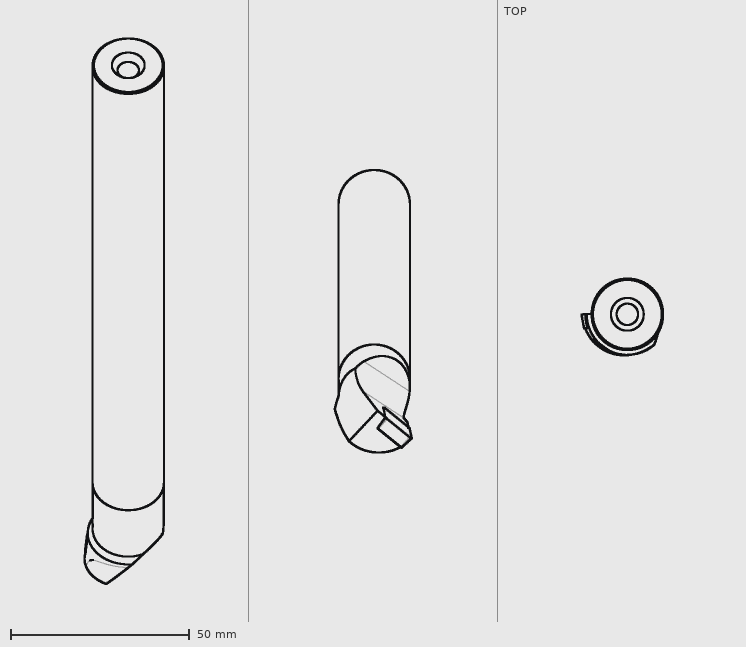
import cadquery as cq
import math


total_length = 221.25
shank_radius = 20.08 / 2
neck_radius = 19.98 / 2
neck_top = 36.25
shank_edge_chamfer = 0.4

bore_radius = 6.0 / 2
bore_end = neck_top
countersink_radius = 9.2 / 2
countersink_depth = 2.2

collar_top = 15.65
head_rim = 13.9
head_radius = 11.38
head_lean = 1.25
bulge_radius = head_radius - 0.1
bulge_angle = math.radians(-58)
bulge_rim_offset = 0.07
bulge_bottom_offset = 0.36

back_slope_top = (10.0, 17.7)
back_slope_bottom = (0.5, 2.9)
end_lead_slope = math.tan(math.radians(5))
end_relief_slope = 0.14
end_height = 0.3

tip_x = -12.9
insert_inscribed = 9.525
insert_thickness = 3.97
insert_nose_radius = 0.8
insert_corner = 80
insert_clearance = 7
insert_lead = 5

rake_slope = 0.07
rake_height = 0.875
flute_fall = -0.39
flute_corner_z = 18.5
flute_fillet = 15.0
runout_angle = math.radians(46.5)

clear = 60.0


def make_shank():
    neck = cq.Workplane("XY").workplane(offset=collar_top).circle(neck_radius).extrude(neck_top - collar_top)
    shank = cq.Workplane("XY").workplane(offset=neck_top).circle(shank_radius)
    shank = shank.extrude(total_length - neck_top)
    shank = shank.faces(">Z").edges().chamfer(shank_edge_chamfer)
    return neck.union(shank)


def make_bore():
    profile = [
        (0, total_length),
        (countersink_radius, total_length),
        (bore_radius, total_length - countersink_depth),
        (bore_radius, bore_end),
        (0, bore_end),
    ]
    return cq.Workplane("XZ").polyline(profile).close().revolve(360, (0, 0), (0, 1))


def make_leaning_cylinder(radius, side_angle, rim_offset, bottom_offset):
    """Cylinder from Z = 0 to the head rim that leans toward -X and is also offset sideways."""
    side_x, side_y = math.cos(side_angle), math.sin(side_angle)
    bottom = (bottom_offset * side_x - head_lean, bottom_offset * side_y)
    rim = (rim_offset * side_x, rim_offset * side_y)
    lower = cq.Workplane("XY").moveTo(*bottom).circle(radius)
    return lower.workplane(offset=head_rim, origin=(0, 0, 0)).moveTo(*rim).circle(radius).loft(ruled=True)


def make_head():
    collar = cq.Workplane("XY").workplane(offset=head_rim).circle(head_radius)
    collar = collar.workplane(offset=collar_top - head_rim).circle(neck_radius).loft(ruled=True)
    body = make_leaning_cylinder(head_radius, 0, 0, 0)
    bulge = make_leaning_cylinder(bulge_radius, bulge_angle, bulge_rim_offset, bulge_bottom_offset)
    return collar.union(body).union(bulge)


def make_back_slope_cut():
    """Wedge beyond the slanted +X side of the head."""
    (top_x, top_z), (bottom_x, bottom_z) = back_slope_top, back_slope_bottom
    run_x, run_z = top_x - bottom_x, top_z - bottom_z
    profile = [
        (bottom_x - run_x, bottom_z - run_z),
        (top_x + run_x, top_z + run_z),
        (top_x + run_x, bottom_z - run_z),
    ]
    return cq.Workplane("XZ").polyline(profile).close().extrude(clear, both=True)


def make_end_cut():
    """Half space below the end face, which rises toward +X and toward -Y."""
    end_plane = cq.Plane(
        origin=(tip_x, 0, end_height),
        xDir=(1, 0, end_lead_slope),
        normal=(-end_lead_slope, end_relief_slope, 1),
    )
    return cq.Workplane(end_plane).rect(clear, clear).extrude(-clear)


def make_flute_cut():
    """Profile axes: x is out of the rake flat (+Y side), y is along the flat, upward."""
    sweep = cq.Vector(1, rake_slope, flute_fall)
    rake_normal = cq.Vector(-rake_slope, 1, 0)
    plane = cq.Plane(origin=(0, rake_height, flute_corner_z), xDir=rake_normal, normal=sweep)
    half = runout_angle / 2
    tangent = flute_fillet * math.tan(half)
    reach = clear / 2
    slope_x, slope_y = math.sin(runout_angle), math.cos(runout_angle)
    arc_middle = (
        flute_fillet * (1 - math.cos(half)),
        flute_fillet * math.sin(half) - tangent,
    )
    profile = (
        cq.Workplane(plane)
        .moveTo(0, -reach)
        .lineTo(0, -tangent)
        .threePointArc(arc_middle, (tangent * slope_x, tangent * slope_y))
        .lineTo(reach * slope_x, reach * slope_y)
        .lineTo(reach * slope_x, -reach)
        .close()
    )
    return profile.extrude(clear, both=True)


def make_insert():
    """Rhombic insert whose rake face lies in the flute's rake flat."""
    side = insert_inscribed / math.sin(math.radians(insert_corner))
    half_corner = math.radians(insert_corner / 2)
    half_long = side * math.cos(half_corner)
    half_short = side * math.sin(half_corner)
    corner_to_nose = insert_nose_radius / math.sin(half_corner)
    rake_angle = math.atan(rake_slope)
    nose_x = tip_x + insert_nose_radius * math.cos(rake_angle)
    rake_plane = cq.Plane(
        origin=(nose_x, rake_height + rake_slope * nose_x, insert_nose_radius),
        xDir=(1, rake_slope, 0),
        normal=(rake_slope, -1, 0),
    )
    rake_plane = rake_plane.rotated((0, 0, insert_lead + insert_corner / 2))
    center_x = half_long - corner_to_nose
    corners = [
        (center_x - half_long, 0),
        (center_x, -half_short),
        (center_x + half_long, 0),
        (center_x, half_short),
    ]
    outline = cq.Sketch().polygon(corners + corners[:1]).vertices().fillet(insert_nose_radius)
    return cq.Workplane(rake_plane).placeSketch(outline).extrude(insert_thickness, taper=insert_clearance)


insert = make_insert()

holder = make_shank().union(make_head())
holder = holder.cut(make_bore())
holder = holder.cut(make_back_slope_cut())
holder = holder.cut(make_end_cut())
holder = holder.cut(make_flute_cut())
holder = holder.cut(insert)

result = cq.Compound.makeCompound([holder.val(), insert.val()])